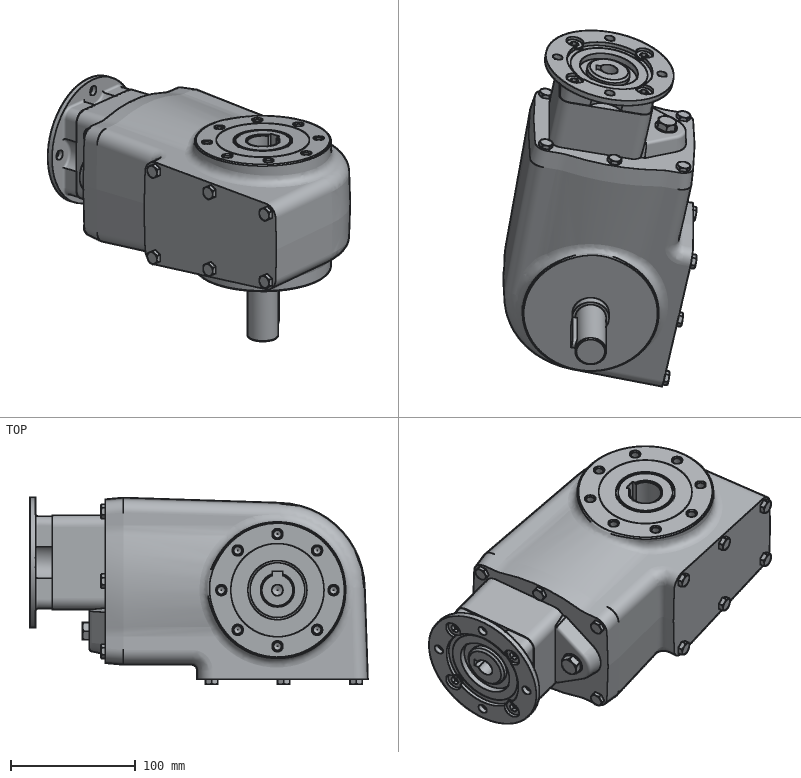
import cadquery as cq
import math


end_x = -138.5
joint_x = -123.8
nose_radius = 70.3
nose_x = 72.8
cover_y = -71.7
pad_x = -64.5
wall_y = -60.0
back_y = 74.5
wall_draft = 1.8
end_draft = 1.4
pad_cove = 4.3
roof_z = 48.5
roof_angle = 3.6
roof_fillet = 10.9
reach = 13.5
housing_mid_y = (back_y + wall_y) / 2

crown_half_width = 36.7
crown_blend_width = 8.0
crown_rise = 6.2

disc_radius = 54.8
disc_z = 54.8
disc_chamfer = 1.0
cove_radius = 7.3
disc_hole_circle = 45.0
disc_hole_diameter = 6.5
disc_hole_mouth = 8.7
disc_hole_depth = 13.5
seal_diameter = 75.0
seal_depth = 0.3
sleeve_gap_outer = 47.5
sleeve_gap_inner = 44.0
sleeve_gap_depth = 2.2
shaft_diameter = 25.0
bore_chamfer = 1.0
key_width = 8.5
key_reach = 15.35
center_hole_diameter = 9.0
center_hole_depth = 8.1
shaft_end_z = -114.5
collar_diameter = 29.5
collar_end_z = -62.0
key_start_z = -69.0
key_end_z = -108.5

input_y = 22.3
flange_x = -198.7
flange_back_x = -194.0
flange_diameter = 104.8
neck_step_x = -180.8
neck_size = 76.0
neck_corner = 9.5
collar_inset = 0.8
collar_corner = 7.5
collar_root = 2.0
flange_hole_circle = 42.5
flange_hole_diameter = 8.0
nut_pocket_radius = 15.0
nut_pocket_circle = 45.0
screw_offset = 28.5
counterbore_diameter = 14.0
counterbore_depth = 8.1
screw_head_diameter = 13.0
screw_head_height = 6.0
socket_size = 7.0
socket_depth = 3.3
pilot_diameter = 70.0
pilot_depth = 3.3
ring_diameter = 63.0
ring_depth = 0.3
hub_gap_diameter = 47.5
hub_gap_depth = 5.5
hub_diameter = 35.0
hub_chamfer = 2.2
input_bore_diameter = 14.0
input_bore_depth = 38.0
input_key_width = 6.0
input_key_reach = 10.3

boss_x = -151.2
boss_y = -32.9
boss_radius = 18.7
boss_half_height = 33.5
boss_draft = 12.0
boss_slope = 35.0
boss_fillet = 2.7
plug_x = -156.7
plug_size = 14.0
spotface_diameter = 18.0
spotface_depth = 0.5

bolt_size = 10.0
cover_bolt_height = 4.0
end_bolt_height = 3.3
cover_bolts = [(-53.0, 37.2), (5.0, 33.0), (63.3, 29.0)]
end_bolts = [(63.3, 39.5), (housing_mid_y, 46.2), (-49.1, 39.5)]


def cylinder_x(x, y, z, diameter, length):
    """Cylinder that starts at x and runs toward +X."""
    return cq.Workplane("YZ", origin=(x, y, z)).circle(diameter / 2).extrude(length)


def cylinder_z(z, diameter, height):
    """Cylinder on the output axis that starts at z and runs toward +Z."""
    return cq.Workplane("XY").workplane(offset=z).circle(diameter / 2).extrude(height)


def drilled_hole(z, diameter, depth):
    """Hole on the output axis that ends in a drill cone at z."""
    return cylinder_z(z, diameter, depth).faces("<Z").chamfer(diameter / 4, diameter * 0.49)


def hex_head(size, height):
    """Hexagon head along +Z with rounded-off corners, one flat facing +Y."""
    corner_diameter = size / math.cos(math.pi / 6)
    head = cq.Workplane("XY").polygon(6, corner_diameter).extrude(height)
    rim = (corner_diameter - size) / 2
    return head.intersect(cylinder_z(0, corner_diameter, height).faces(">Z").chamfer(rim))


def nose_tangent(x, y, turn):
    """Point where the tangent from (x, y) touches the round end."""
    angle = math.atan2(y, x) + turn * math.acos(nose_radius / math.hypot(x, y))
    return nose_radius * math.cos(angle), nose_radius * math.sin(angle)


def housing_walls():
    """Plan outline with draft above and below the mid plane."""
    outline = (
        cq.Workplane("XY")
        .moveTo(joint_x - reach, wall_y)
        .lineTo(pad_x - pad_cove, wall_y)
        .radiusArc((pad_x, wall_y - pad_cove), pad_cove)
        .lineTo(pad_x, cover_y - reach)
        .lineTo(nose_x, cover_y - reach)
        .lineTo(nose_x, cover_y)
        .lineTo(*nose_tangent(nose_x, cover_y, 1))
        .radiusArc(nose_tangent(joint_x, back_y, -1), -nose_radius)
        .lineTo(joint_x, back_y)
        .lineTo(joint_x - reach, back_y)
        .close()
    )
    upper = outline.extrude(disc_z, taper=wall_draft)
    return upper.union(upper.mirror("XY"))


def roof_height(x):
    return roof_z - (x - joint_x) * math.tan(math.radians(roof_angle))


def is_roof_rim(edge):
    """True for edges between roof and side walls, away from the end and cover faces."""
    box = edge.BoundingBox()
    mid = edge.Center()
    level = abs(mid.z) > roof_height(nose_x) / 2 and box.zlen < reach
    crosses = box.ylen > back_y
    return level and not crosses and abs(mid.y - cover_y) > 0.3


def housing():
    far_x = nose_x + reach
    roof_line = [
        (joint_x, roof_z),
        (far_x, roof_height(far_x)),
    ]
    floor_line = [(x, -z) for x, z in reversed(roof_line)]
    envelope = (
        cq.Workplane("XZ", origin=(0, back_y + reach, 0))
        .polyline(roof_line + floor_line)
        .close()
        .extrude(back_y + reach - cover_y)
    )
    body = envelope.intersect(housing_walls())
    rim = [e for e in body.edges().vals() if is_roof_rim(e)]
    return body.newObject(rim).fillet(roof_fillet)


def cover_section(x, inset):
    """Rounded outline of the end cover, with drafted sides that meet at mid height."""
    top = roof_z - inset
    lean = top * math.tan(math.radians(wall_draft))
    low_y = wall_y + inset
    high_y = back_y - inset
    outline = [
        (low_y, 0),
        (low_y + lean, top),
        (high_y - lean, top),
        (high_y, 0),
        (high_y - lean, -top),
        (low_y + lean, -top),
    ]
    block = cq.Workplane("YZ", origin=(x, 0, 0)).polyline(outline).close().extrude(2.7)
    corners = [e for e in block.edges("|X").vals() if abs(e.Center().z) > top / 2]
    return block.newObject(corners).fillet(roof_fillet).faces("<X").wires().val()


def end_cover():
    start = cover_section(end_x, end_draft)
    stop = cover_section(joint_x, 0)
    return cq.Workplane(cq.Solid.makeLoft([start, stop], True))


def crown_section(x, height):
    """Low arch that blends into the roof, standing on the mid plane."""
    outer = crown_half_width + crown_blend_width
    blend_angle = 2 * math.atan(crown_rise / outer)
    arch_radius = crown_half_width / math.sin(blend_angle)
    blend_radius = crown_blend_width / math.sin(blend_angle)
    blend_rise = blend_radius * (1 - math.cos(blend_angle))
    return (
        cq.Workplane("YZ", origin=(x, housing_mid_y, 0))
        .moveTo(-outer, 0)
        .lineTo(-outer, height)
        .radiusArc((-crown_half_width, height + blend_rise), -blend_radius)
        .radiusArc((crown_half_width, height + blend_rise), arch_radius)
        .radiusArc((outer, height), -blend_radius)
        .lineTo(outer, 0)
        .close()
    )


def crown():
    """Arch along the roof from the end face into the disc, mirrored below."""
    def span(x0, z0, x1, z1):
        start = crown_section(x0, z0).wires().vals()
        stop = crown_section(x1, z1).wires().vals()
        return cq.Workplane(cq.Solid.makeLoft([start[0], stop[0]], True))

    upper = span(end_x, roof_z - end_draft, joint_x, roof_z)
    upper = upper.union(span(joint_x, roof_z, 0, roof_height(0)))
    return upper.union(upper.mirror("XY"))


def is_disc_root(edge):
    """True for the edges where a disc stands on the roof."""
    ends = (edge.startPoint(), edge.endPoint())
    on_wall = all(abs(math.hypot(p.x, p.y) - disc_radius) < 0.14 for p in ends)
    return on_wall and abs(edge.Center().z) < disc_z and edge.geomType() != "LINE"


def add_discs(body):
    """Add both discs, rounded into the sloping roofs and trimmed to height."""
    post_z = disc_z + reach
    body = body.union(cylinder_z(-post_z, 2 * disc_radius, 2 * post_z))
    root = [e for e in body.edges().vals() if is_disc_root(e)]
    body = body.newObject(root).fillet(cove_radius)
    trim_size = 4 * (disc_radius + nose_radius)
    body = body.intersect(cq.Workplane("XY").box(trim_size, trim_size, 2 * disc_z))
    return body.faces("<Z or >Z").edges().chamfer(disc_chamfer)


def key_block(width, radial_reach, z0, z1):
    height = z1 - z0
    block = cq.Workplane("XY").box(width, radial_reach, height, centered=(True, False, False))
    return block.translate((0, 0, z0))


def drill_disc(body):
    """Bolt holes, seal ring and keyed bore in the upper disc."""
    hole = drilled_hole(disc_z - disc_hole_depth, disc_hole_diameter, disc_hole_depth)
    flare = (disc_hole_mouth - disc_hole_diameter) / 2
    mouth = cylinder_z(disc_z - flare, disc_hole_mouth, flare).faces("<Z").chamfer(flare * 0.99)
    hole = hole.union(mouth).translate((disc_hole_circle, 0, 0))
    for i in range(8):
        body = body.cut(hole.rotate((0, 0, 0), (0, 0, 1), 45 * i))

    body = body.cut(cylinder_z(disc_z - seal_depth, seal_diameter, seal_depth))
    gap = cylinder_z(disc_z - sleeve_gap_depth, sleeve_gap_outer, sleeve_gap_depth)
    body = body.cut(gap.cut(cylinder_z(0, sleeve_gap_inner, disc_z)))

    bore = cylinder_z(0, shaft_diameter, disc_z).union(key_block(key_width, key_reach, 0, disc_z))
    bore = bore.union(drilled_hole(-center_hole_depth, center_hole_diameter, center_hole_depth))
    lip_z = disc_z - seal_depth - bore_chamfer
    lip = cylinder_z(lip_z, shaft_diameter + 2 * bore_chamfer, bore_chamfer)
    return body.cut(bore.union(lip))


def output_shaft():
    shaft = cylinder_z(shaft_end_z, shaft_diameter, -shaft_end_z).faces("<Z").chamfer(bore_chamfer)
    collar = cylinder_z(collar_end_z, collar_diameter, -collar_end_z)
    key = key_block(key_width, key_reach, key_end_z, key_start_z)
    key = key.edges("|Y").fillet(key_width * 0.49)
    return shaft.union(collar).union(key)


def neck_block(x0, x1, size, corner):
    block = cq.Workplane("YZ", origin=(x0, input_y, 0)).rect(size, size).extrude(x1 - x0)
    return block.edges("|X").fillet(corner)


def input_neck():
    """Flange, collar with four nut pockets and the square neck."""
    flange = cylinder_x(flange_x, input_y, 0, flange_diameter, flange_back_x - flange_x)
    collar_length = neck_step_x - flange_back_x
    collar = neck_block(flange_back_x, neck_step_x, neck_size - 2 * collar_inset, collar_corner)
    for i in range(4):
        turn = math.pi / 2 * i
        pocket_y = input_y + nut_pocket_circle * math.cos(turn)
        pocket_z = nut_pocket_circle * math.sin(turn)
        collar = collar.cut(cylinder_x(flange_back_x, pocket_y, pocket_z, 2 * nut_pocket_radius, collar_length))
    root_box = cq.selectors.BoxSelector(
        (flange_back_x - 0.3, input_y - neck_size / 2, -neck_size / 2),
        (flange_back_x + 0.3, input_y + neck_size / 2, neck_size / 2),
        boundingbox=True,
    )
    neck = flange.union(collar).edges(root_box).fillet(collar_root)
    for i in range(4):
        turn = math.pi / 2 * i
        hole_y = input_y + flange_hole_circle * math.cos(turn)
        hole_z = flange_hole_circle * math.sin(turn)
        neck = neck.cut(cylinder_x(flange_x, hole_y, hole_z, flange_hole_diameter, neck_step_x - flange_x))
    return neck.union(neck_block(neck_step_x, end_x + reach, neck_size, neck_corner))


def machine_flange(body):
    """Pilot recess, hub, keyed bore and the counterbored socket screws."""
    floor_x = flange_x + pilot_depth
    body = body.cut(cylinder_x(flange_x, input_y, 0, pilot_diameter, pilot_depth))
    body = body.cut(cylinder_x(floor_x, input_y, 0, ring_diameter, ring_depth))

    hub = cylinder_x(floor_x, input_y, 0, hub_diameter, hub_gap_depth).faces("<X").chamfer(hub_chamfer)
    body = body.cut(cylinder_x(floor_x, input_y, 0, hub_gap_diameter, hub_gap_depth).cut(hub))

    keyway = cq.Workplane("XY").box(
        input_bore_depth, input_key_reach, input_key_width, centered=(False, False, True)
    )
    body = body.cut(cylinder_x(flange_x, input_y, 0, input_bore_diameter, input_bore_depth))
    body = body.cut(keyway.translate((flange_x, input_y, 0)))

    head_x = flange_x + counterbore_depth - screw_head_height
    for y in (input_y - screw_offset, input_y + screw_offset):
        for z in (-screw_offset, screw_offset):
            body = body.cut(cylinder_x(flange_x, y, z, counterbore_diameter, counterbore_depth))
            head = cylinder_x(head_x, y, z, screw_head_diameter, screw_head_height)
            socket = cq.Workplane("YZ", origin=(head_x, y, z)).polygon(6, socket_size).extrude(socket_depth)
            body = body.union(head.cut(socket))
    return body


def side_boss():
    """Wedge-shaped boss beside the neck, with its plug in a spotface."""
    slope = math.radians(boss_slope)
    tip_y = boss_y - boss_radius * math.sin(slope)
    tip_z = boss_radius * math.cos(slope)
    shoulder_y = tip_y + (boss_half_height - tip_z) / math.tan(slope)
    boss = (
        cq.Workplane("YZ", origin=(end_x, 0, 0))
        .moveTo(input_y, boss_half_height)
        .lineTo(shoulder_y, boss_half_height)
        .lineTo(tip_y, tip_z)
        .threePointArc((boss_y - boss_radius, 0), (tip_y, -tip_z))
        .lineTo(shoulder_y, -boss_half_height)
        .lineTo(input_y, -boss_half_height)
        .close()
        .extrude(boss_x - end_x, taper=boss_draft)
        .faces("<X")
        .edges()
        .fillet(boss_fillet)
    )
    boss = boss.cut(cylinder_x(boss_x, boss_y, 0, spotface_diameter, spotface_depth))
    plug = hex_head(plug_size, boss_x + spotface_depth - plug_x).rotate((0, 0, 0), (0, 1, 0), -90)
    return boss.union(plug.translate((boss_x + spotface_depth, boss_y, 0)))


def bolt_heads():
    end_head = hex_head(bolt_size, end_bolt_height).rotate((0, 0, 0), (0, 0, 1), 90)
    end_head = end_head.rotate((0, 0, 0), (0, 1, 0), -90)
    cover_head = hex_head(bolt_size, cover_bolt_height).rotate((0, 0, 0), (0, 0, 1), 90)
    cover_head = cover_head.rotate((0, 0, 0), (1, 0, 0), 90)
    heads = [cover_head.translate((x, cover_y, side * z)) for x, z in cover_bolts for side in (-1, 1)]
    heads += [end_head.translate((end_x, y, side * z)) for y, z in end_bolts for side in (-1, 1)]
    return heads


lower_half = cylinder_z(shaft_end_z, 2 * disc_radius, -shaft_end_z)
body = add_discs(housing().union(crown())).union(end_cover())
body = drill_disc(body.union(output_shaft().intersect(lower_half)))
body = body.union(machine_flange(input_neck())).union(side_boss())
for head in bolt_heads():
    body = body.union(head)
result = body